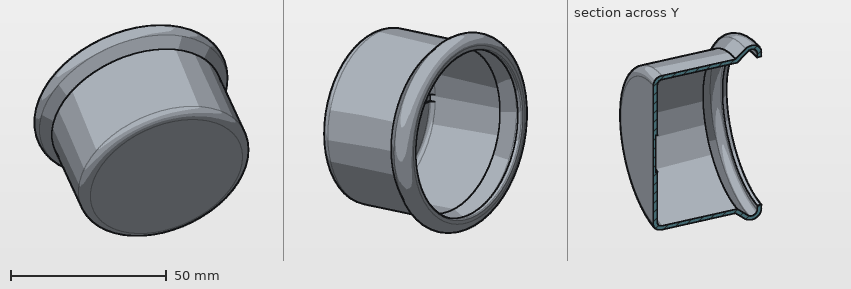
import cadquery as cq
import math

length = 38.0
rim_diameter = 65.2
body_diameter = 57.65
bore_diameter = 54.4
mouth_diameter = 55.0

rim_round = 3.5
rim_round_end = 5.7
cone_end = 9.2
mouth_edge_round = 0.4

end_round = 3.0

keyhole_diameter = 13.7
slot_width = 2.3
keyhole_depth = 0.65

rim_radius = rim_diameter / 2
body_radius = body_diameter / 2
bore_radius = bore_diameter / 2
mouth_radius = mouth_diameter / 2
wall = body_radius - bore_radius
floor_x = length - wall
floor_round = end_round - wall


def make_cup():
    """Revolve the half section, drawn as (position along X, radius)."""
    rim_center_radius = rim_radius - rim_round
    hollow_round = rim_round - wall
    lip_edge_radius = mouth_radius + mouth_edge_round

    exit_angle = math.acos((rim_round_end - rim_round) / rim_round)
    middle_angle = (math.pi + exit_angle) / 2

    def rim_point(radius, angle):
        return (
            rim_round + radius * math.cos(angle),
            rim_center_radius + radius * math.sin(angle),
        )

    outer_exit = rim_point(rim_round, exit_angle)
    cone_angle = math.atan2(outer_exit[1] - body_radius, cone_end - outer_exit[0])
    inner_cone_end = cone_end - wall * math.tan(cone_angle / 2)

    section = (
        cq.Workplane("XY")
        .moveTo(0, lip_edge_radius)
        .lineTo(0, rim_center_radius)
        .threePointArc(rim_point(rim_round, middle_angle), outer_exit)
        .lineTo(cone_end, body_radius)
        .lineTo(length - end_round, body_radius)
        .radiusArc((length, body_radius - end_round), end_round)
        .lineTo(length, 0)
        .lineTo(floor_x, 0)
        .lineTo(floor_x, bore_radius - floor_round)
        .radiusArc((floor_x - floor_round, bore_radius), -floor_round)
        .lineTo(inner_cone_end, bore_radius)
        .lineTo(*rim_point(hollow_round, exit_angle))
        .threePointArc(rim_point(hollow_round, middle_angle), (wall, rim_center_radius))
        .lineTo(wall, mouth_radius)
        .lineTo(mouth_edge_round, mouth_radius)
        .radiusArc((0, lip_edge_radius), mouth_edge_round)
        .close()
    )
    return section.revolve(360, (0, 0, 0), (1, 0, 0))


def make_keyhole():
    """Round recess with a slot that runs toward -Y up to the bore wall."""
    height = floor_round + keyhole_depth
    plane = cq.Workplane("YZ", origin=(floor_x - floor_round, 0, 0))
    round_part = plane.circle(keyhole_diameter / 2).extrude(height)
    slot = plane.center(-bore_radius / 2, 0).rect(bore_radius, slot_width).extrude(height)
    bore = plane.circle(bore_radius).extrude(height)
    return round_part.union(slot).intersect(bore)


result = make_cup().cut(make_keyhole())